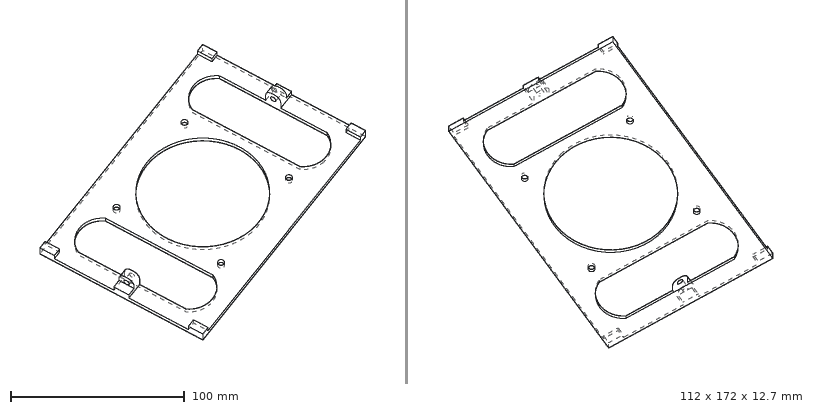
import cadquery as cq

plate_width = 112.0
plate_length = 172.0
plate_thickness = 3.0

block_depth = 5.5
block_top = 6.0
corner_block_width = 10.0

lug_width = 10.3
lug_thickness = 6.0
lug_top = 12.7
lug_corner_radius = 4.5
lug_hole_diameter = 3.6
lug_hole_height = 7.9

center_hole_diameter = 77.0
screw_hole_diameter = 4.0
screw_hole_spacing = 71.7
slot_width = 28.5
slot_length = 91.5
slot_straight_length = 74.0
slot_edge_margin = 11.5

slot_center_y = plate_length / 2 - slot_edge_margin - slot_width / 2


def upright_box(width, depth, height, center_x, center_y):
    """Box standing on the underside plane of the plate."""
    return cq.Workplane("XY").box(width, depth, height, centered=(True, True, False)).translate(
        (center_x, center_y, 0)
    )


def make_plate():
    """Plate with the large central opening and four screw holes."""
    plate = upright_box(plate_width, plate_length, plate_thickness, 0, 0)
    plate = plate.faces(">Z").workplane().hole(center_hole_diameter)
    return (
        plate.faces(">Z")
        .workplane()
        .rect(screw_hole_spacing, screw_hole_spacing, forConstruction=True)
        .vertices()
        .hole(screw_hole_diameter)
    )


def make_slot(center_y):
    """Cutter for a slot whose bulging ends are shallower than semicircles."""
    half_straight = slot_straight_length / 2
    half_length = slot_length / 2
    half_width = slot_width / 2
    return (
        cq.Workplane("XY")
        .moveTo(-half_straight, -half_width)
        .lineTo(half_straight, -half_width)
        .threePointArc((half_length, 0), (half_straight, half_width))
        .lineTo(-half_straight, half_width)
        .threePointArc((-half_length, 0), (-half_straight, -half_width))
        .close()
        .extrude(plate_thickness)
        .translate((0, center_y, 0))
    )


def make_lug(center_y):
    """Upright lug with rounded upper corners and a hole along Y."""
    lug = upright_box(lug_width, lug_thickness, lug_top, 0, center_y)
    lug = lug.edges("|Y and >Z").fillet(lug_corner_radius)
    hole = (
        cq.Workplane("XZ", origin=(0, center_y, lug_hole_height))
        .circle(lug_hole_diameter / 2)
        .extrude(lug_thickness, both=True)
    )
    return lug.cut(hole)


result = make_plate()
corner_x = (plate_width - corner_block_width) / 2
block_y = (plate_length - block_depth) / 2
lug_y = plate_length / 2 - block_depth - lug_thickness / 2

for side in (-1, 1):
    result = result.cut(make_slot(side * slot_center_y))
    for corner_side in (-1, 1):
        corner_block = upright_box(
            corner_block_width, block_depth, block_top, corner_side * corner_x, side * block_y
        )
        result = result.union(corner_block)
    result = result.union(upright_box(lug_width, block_depth, block_top, 0, side * block_y))
    result = result.union(make_lug(side * lug_y))